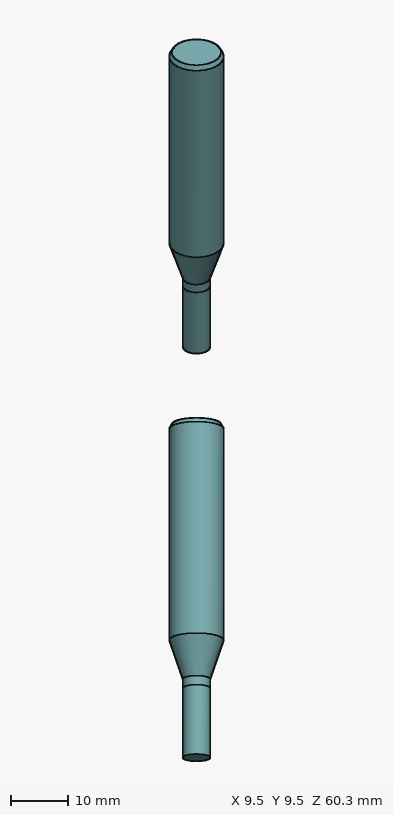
import cadquery as cq

total_length = 60.3
shank_diameter = 9.5
tip_diameter = 4.8

tip_length = 12.55
collar_length = 1.6
taper_length = 7.05

chamfer_height = 0.85
chamfer_inset = 0.5

shank_radius = shank_diameter / 2
tip_radius = tip_diameter / 2
taper_start = tip_length + collar_length
taper_end = taper_start + taper_length


def make_shank():
    """Chamfered shank that tapers down to a short collar of the tip's diameter."""
    profile = (
        cq.Workplane("YZ")
        .moveTo(0, tip_length)
        .lineTo(-tip_radius, tip_length)
        .lineTo(-tip_radius, taper_start)
        .lineTo(-shank_radius, taper_end)
        .lineTo(-shank_radius, total_length - chamfer_height)
        .lineTo(-shank_radius + chamfer_inset, total_length)
        .lineTo(0, total_length)
        .close()
    )
    return profile.revolve(360, (0, 0, 0), (0, 1, 0))


def make_tip():
    """Plain cylindrical tip that butts against the collar of the shank."""
    profile = (
        cq.Workplane("YZ")
        .lineTo(-tip_radius, 0)
        .lineTo(-tip_radius, tip_length)
        .lineTo(0, tip_length)
        .close()
    )
    return profile.revolve(360, (0, 0, 0), (0, 1, 0))


shank = make_shank()
tip = make_tip()

result = cq.Compound.makeCompound([shank.val(), tip.val()])